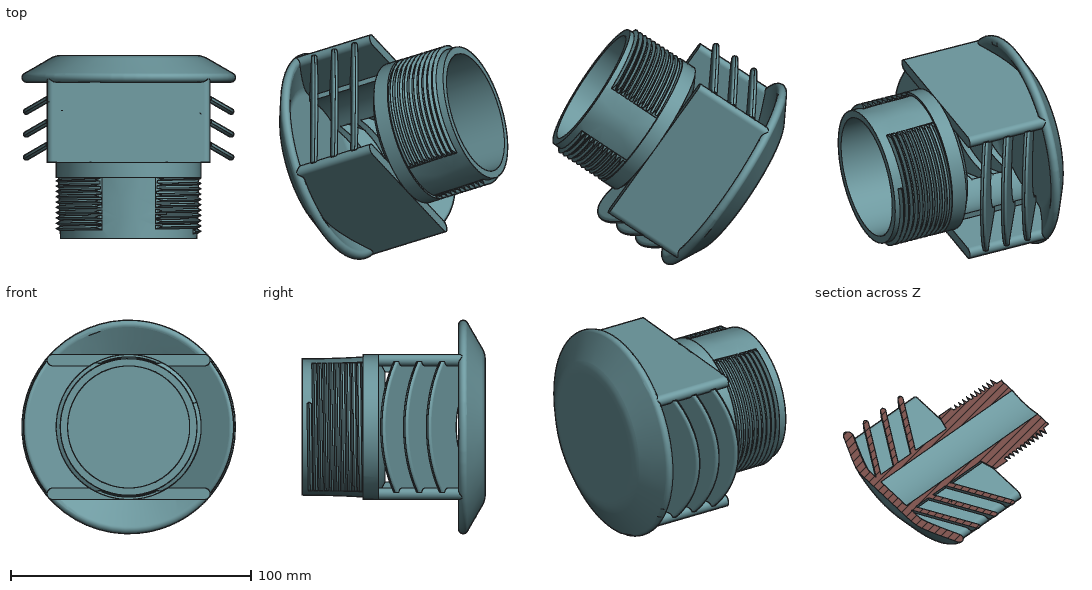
import cadquery as cq
import math


total_length = 76.2
slope = math.radians(30)

bore_radius = 50.8 / 2
collar_radius = 60.33 / 2
collar_start = 25.4
collar_end = collar_start + 6.35
pipe_end_radius = 28.4
pipe_taper = 1 / 32
pipe_root_radius = pipe_end_radius + pipe_taper * collar_start

thread_pitch = 25.4 / 11.5
thread_start = 3.05
thread_base_radius = pipe_end_radius - 0.2
thread_half_base = 0.49 * thread_pitch
thread_start_angle = 20.0
thread_reach = 75.0
thread_turns = 10
strip_half_width = 11.1
thread_half_height = 26.6

plate_inner = bore_radius
plate_outer = collar_radius
plate_thickness = plate_outer - plate_inner
plate_half_length = 33.9

hood_radius = 88.9 / 2
hood_thickness = 3.97
hood_height = 11.2
hood_bend_radius = 9.525

vane_radius = 44.2
vane_thickness = 2.38
vane_edge_round = 0.499 * vane_thickness
vane_spacing = 9.525
vane_count = 3
vane_half_height = 27.2
first_vane_apex = 78.8


def revolve_about_y(sketch):
    return sketch.revolve(360, (0, 0, 0), (0, 1, 0))


def cylinder(radius, start, end):
    return cq.Workplane("XZ", origin=(0, start, 0)).circle(radius).extrude(start - end)


def block(half_x, half_z, start, end):
    box = cq.Workplane("XY").box(2 * half_x, end - start, 2 * half_z)
    return box.translate((0, (start + end) / 2, 0))


rim_round = hood_thickness / 2
rim_center = (hood_radius - rim_round, total_length - hood_height + rim_round)
bend_drop = hood_bend_radius * (1 - math.cos(slope))
rim_outer_tangent = (
    rim_center[0] + rim_round * math.sin(slope),
    rim_center[1] + rim_round * math.cos(slope),
)
slope_rise = total_length - bend_drop - rim_outer_tangent[1]
bend_end_radius = rim_outer_tangent[0] - slope_rise / math.tan(slope)
crown_radius = bend_end_radius - hood_bend_radius * math.sin(slope)
bend_center = (crown_radius, total_length - hood_bend_radius)
hood_underside = total_length - hood_thickness


def polar(center, radius, angle):
    """Point at an angle from the Y direction, turning towards +X."""
    return (center[0] + radius * math.sin(angle), center[1] + radius * math.cos(angle))


def hood():
    inner_bend = hood_bend_radius - hood_thickness
    rim_inner_tangent = polar(rim_center, rim_round, slope + math.pi)
    profile = (
        cq.Workplane("XY")
        .moveTo(0, hood_underside)
        .lineTo(0, total_length)
        .lineTo(crown_radius, total_length)
        .threePointArc(
            polar(bend_center, hood_bend_radius, slope / 2),
            polar(bend_center, hood_bend_radius, slope),
        )
        .lineTo(*rim_outer_tangent)
        .threePointArc(polar(rim_center, rim_round, slope + math.pi / 2), rim_inner_tangent)
        .lineTo(*polar(bend_center, inner_bend, slope))
        .threePointArc(
            polar(bend_center, inner_bend, slope / 2),
            (crown_radius, hood_underside),
        )
        .close()
    )
    return revolve_about_y(profile)


def space_under_hood():
    """Room for the plates: everything below the middle of the hood wall."""
    reach = 2 * hood_radius
    mid_bend = polar(bend_center, hood_bend_radius - rim_round, slope)
    profile = cq.Workplane("XY").polyline([
        (0, 0),
        (reach, 0),
        (reach, rim_center[1]),
        rim_center,
        mid_bend,
        (0, mid_bend[1]),
    ]).close()
    return revolve_about_y(profile)


def plates():
    bar = (
        cq.Workplane("XZ", origin=(0, collar_end, 0))
        .slot2D(2 * plate_half_length, plate_thickness)
        .extrude(collar_end - total_length)
    )
    offset = (plate_inner + plate_outer) / 2
    pair = bar.translate((0, 0, offset)).union(bar.translate((0, 0, -offset)))
    return pair.intersect(space_under_hood())


def strips():
    """Web between the plates; the bore leaves a wall above and below the axis."""
    half_height = plate_inner + plate_thickness / 4
    return block(strip_half_width, half_height, collar_end, hood_underside + rim_round)


def right_vanes():
    """Sloping sheets on the +X side with a fully rounded outer edge."""
    sheet = (
        cq.Workplane("XZ")
        .ellipse(vane_radius / math.cos(slope), vane_radius)
        .extrude(vane_thickness)
        .edges()
        .fillet(vane_edge_round)
        .rotate((0, 0, 0), (0, 0, 1), -math.degrees(slope))
    )
    side = block(vane_radius, vane_half_height, 0, first_vane_apex)
    side = side.translate((strip_half_width / 2 + vane_radius, 0, 0))
    vane = sheet.translate((0, first_vane_apex, 0)).intersect(side)
    return [vane.translate((0, -index * vane_spacing, 0)) for index in range(vane_count)]


def pipe():
    """Tapered pipe, collar and the drip cone above the collar, still solid, with the strip edges relieved."""
    cone_rise = (collar_radius - bore_radius) * math.tan(slope)
    profile = cq.Workplane("XY").polyline([
        (0, 0),
        (pipe_end_radius, 0),
        (pipe_root_radius, collar_start),
        (collar_radius, collar_start),
        (collar_radius, collar_end),
        (bore_radius, collar_end + cone_rise),
        (0, collar_end + cone_rise),
    ]).close()
    corners = (
        block(collar_radius, collar_radius, thread_start, collar_start)
        .cut(block(strip_half_width, collar_radius, 0, collar_end))
        .cut(block(collar_radius, thread_half_height, 0, collar_end))
    )
    return revolve_about_y(profile).cut(corners)


def thread_ridge(from_angle, to_angle):
    """Helical ridge; angles run from +X towards -Z, and Y is thread_start at angle 0."""
    turns = (to_angle - from_angle) / 360
    helix = cq.Wire.makeHelix(thread_pitch, thread_pitch * turns, thread_base_radius)
    ridge = (
        cq.Workplane("XZ")
        .polyline([
            (thread_base_radius, -thread_half_base),
            (collar_radius, 0),
            (thread_base_radius, thread_half_base),
        ])
        .close()
        .sweep(cq.Workplane(helix), isFrenet=True)
    )
    start = thread_start + thread_pitch * from_angle / 360
    return (
        ridge.rotate((0, 0, 0), (0, 0, 1), from_angle)
        .rotate((0, 0, 0), (1, 0, 0), -90)
        .translate((0, start, 0))
    )


def thread():
    """Ridges on the +X and -X sides, cut off square beside the plain strips."""
    right = thread_ridge(-thread_reach, thread_reach)
    left = thread_ridge(180 - thread_reach, 180 + thread_reach)
    ridges = [thread_ridge(-thread_start_angle, thread_reach)]
    for turn in range(thread_turns):
        ridges.append(left.translate((0, turn * thread_pitch, 0)))
        ridges.append(right.translate((0, (turn + 1) * thread_pitch, 0)))
    sides = block(2 * collar_radius, thread_half_height, 0, collar_start)
    sides = sides.cut(block(strip_half_width, collar_radius, 0, collar_start))
    trimmed = [ridge.intersect(sides).val() for ridge in ridges]
    return cq.Workplane(cq.Compound.makeCompound(trimmed))


threaded_pipe = pipe().union(thread())
head = hood().union(plates()).union(strips())
for right_vane in right_vanes():
    head = head.union(right_vane).union(right_vane.mirror("YZ"))
result = threaded_pipe.union(head).cut(cylinder(bore_radius, 0, hood_underside))